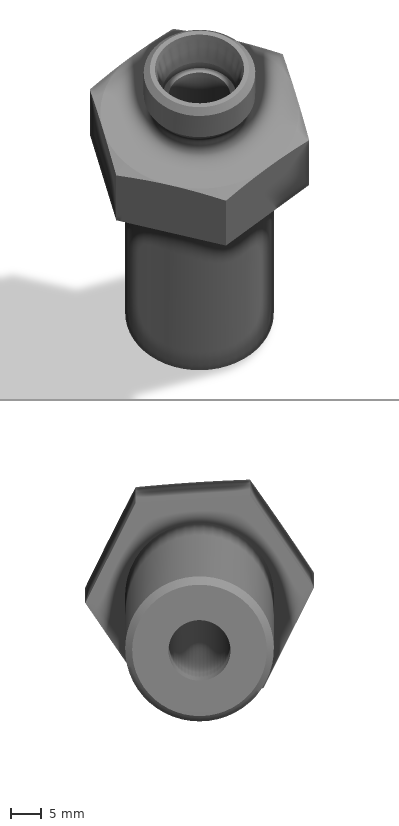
import cadquery as cq
import math

total_height = 63.0
hex_bottom = 40.0
hex_height = 12.05
hex_top = hex_bottom + hex_height

shank_radius = 24.0 / 2
shank_chamfer = 1.15
hex_across_flats = 32.0
hex_corner_radius = hex_across_flats / math.sqrt(3)
hex_chamfer_angle = math.radians(15)
cutter_clearance = 0.6

spigot_radius = 18.0 / 2
spigot_chamfer = 1.0
spigot_length = 6.35
neck_radius = 15.7 / 2
neck_fillet = 1.0
runout_angle = math.radians(30)

bore_radius = 10.0 / 2
socket_radius = 12.0 / 2
socket_depth = 7.0
mouth_radius = 14.35 / 2
cone_half_angle = math.radians(12)


def revolve_outline(points):
    """Revolve a closed (radius, z) outline about the Z axis."""
    return cq.Workplane("XZ").polyline(points).close().revolve(360, (0, 0), (0, 1))


def make_shank():
    return revolve_outline([
        (0, 0),
        (shank_radius - shank_chamfer, 0),
        (shank_radius, shank_chamfer),
        (shank_radius, hex_bottom),
        (0, hex_bottom),
    ])


def make_hexagon():
    """Hexagon with corners on the Y axis and a conical chamfer on its top."""
    corners = [
        (hex_corner_radius * math.sin(i * math.pi / 3),
         hex_corner_radius * math.cos(i * math.pi / 3))
        for i in range(6)
    ]
    prism = cq.Workplane("XY", origin=(0, 0, hex_bottom)).polyline(corners).close().extrude(hex_height)
    flat_radius = hex_across_flats / 2
    outer_radius = hex_corner_radius + cutter_clearance
    chamfer_drop = (outer_radius - flat_radius) * math.tan(hex_chamfer_angle)
    envelope = revolve_outline([
        (0, hex_bottom),
        (outer_radius, hex_bottom),
        (outer_radius, hex_top - chamfer_drop),
        (flat_radius, hex_top),
        (0, hex_top),
    ])
    return prism.intersect(envelope)


def make_spigot():
    """Spigot tapering to its neck, with concave fillets at both ends of the neck."""
    spigot_bottom = total_height - spigot_length
    taper_end = spigot_bottom - (spigot_radius - neck_radius) / math.tan(runout_angle)
    fillet_start = taper_end - neck_fillet * math.tan(runout_angle / 2)
    center_radius = neck_radius + neck_fillet

    def fillet_point(center_z, angle):
        return (center_radius - neck_fillet * math.cos(angle), center_z + neck_fillet * math.sin(angle))

    foot_center_z = hex_top + neck_fillet
    return (
        cq.Workplane("XZ")
        .moveTo(0, hex_top)
        .lineTo(center_radius, hex_top)
        .threePointArc(fillet_point(foot_center_z, -math.pi / 4), (neck_radius, foot_center_z))
        .lineTo(neck_radius, fillet_start)
        .threePointArc(fillet_point(fillet_start, runout_angle / 2), fillet_point(fillet_start, runout_angle))
        .lineTo(spigot_radius, spigot_bottom)
        .lineTo(spigot_radius, total_height - spigot_chamfer)
        .lineTo(spigot_radius - spigot_chamfer, total_height)
        .lineTo(0, total_height)
        .close()
        .revolve(360, (0, 0), (0, 1))
    )


def make_bore():
    cone_depth = (mouth_radius - socket_radius) / math.tan(cone_half_angle)
    socket_bottom = total_height - socket_depth
    return revolve_outline([
        (0, 0),
        (bore_radius, 0),
        (bore_radius, socket_bottom),
        (socket_radius, socket_bottom),
        (socket_radius, total_height - cone_depth),
        (mouth_radius, total_height),
        (0, total_height),
    ])


result = make_shank().union(make_hexagon()).union(make_spigot()).cut(make_bore())